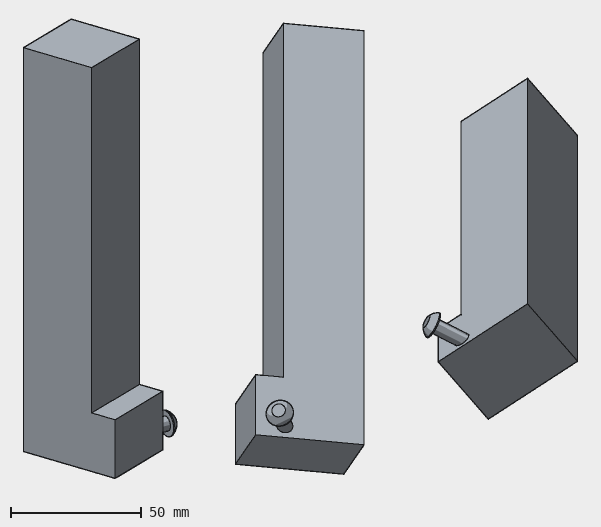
import cadquery as cq
import math

post_side = 31.8
post_height = 170.0
foot_height = 24.7
foot_reach = 10.9

screw_turn = 22.5
screw_z = 5.0
screw_entry_x = 31.3
shank_dia = 6.0
shank_exposed = 12.6
shank_embedded = 7.7
head_dia = 10.5
head_top_dia = 5.3
head_height = 3.2
rim_height = 0.5
dome_bulge = 0.25

shank_length = shank_exposed + shank_embedded


def along_screw_axis(shape):
    """Move a shape built along +Z, with the back face crossing at the origin, onto the screw axis."""
    level = shape.rotate((0, 0, 0), (1, 0, 0), -90)
    turned = level.rotate((0, 0, 0), (0, 0, 1), -screw_turn)
    return turned.translate((screw_entry_x, post_side, screw_z))


def make_shank():
    return cq.Workplane("XY").workplane(offset=-shank_embedded).circle(shank_dia / 2).extrude(shank_length)


def make_head():
    rim_radius = head_dia / 2
    top_radius = head_top_dia / 2
    dome_rise = head_height - rim_height
    dome_run = rim_radius - top_radius
    chord = math.hypot(dome_run, dome_rise)
    dome_mid = (
        (rim_radius + top_radius) / 2 + dome_bulge * dome_rise / chord,
        (rim_height + head_height) / 2 + dome_bulge * dome_run / chord,
    )
    half_profile = (
        cq.Workplane("XZ")
        .moveTo(0, 0)
        .lineTo(rim_radius, 0)
        .lineTo(rim_radius, rim_height)
        .threePointArc(dome_mid, (top_radius, head_height))
        .lineTo(0, head_height)
        .close()
    )
    head = half_profile.revolve(360, (0, 0, 0), (0, 1, 0))
    return head.translate((0, 0, shank_exposed))


def make_screw():
    return along_screw_axis(make_shank().union(make_head()))


def make_post():
    outline = (
        cq.Workplane("XZ")
        .moveTo(0, 0)
        .lineTo(post_side + foot_reach, 0)
        .lineTo(post_side + foot_reach, foot_height)
        .lineTo(post_side, foot_height)
        .lineTo(post_side, post_height)
        .lineTo(0, post_height)
        .close()
    )
    screw_hole = along_screw_axis(make_shank())
    return outline.extrude(-post_side).cut(screw_hole)


post = make_post()
screw = make_screw()

result = cq.Compound.makeCompound([post.val(), screw.val()])